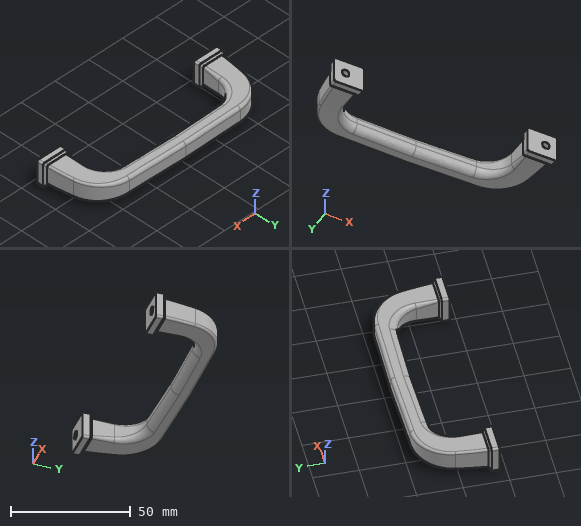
import cadquery as cq
import math

overall_length = 107.0
overall_reach = 34.5
overall_height = 13.0

foot_width = 14.4
foot_straight = 3.5
foot_height = 4.5
foot_corner_radius = 1.0
foot_outer_x = -overall_length / 2
foot_center_x = foot_outer_x + foot_width / 2

hole_spacing = 96.0
hole_diameter = 3.4
hole_depth = 10.0
drill_point_angle = 118.0

outer_bend_end_x = -32.85
outer_bend_end_y = 33.86
outer_bend_radius = 18.2
outer_bend_angle = math.radians(81.3)
leg_curve_radius = 180.0

inner_crown_y = 25.5
inner_bend_end_x = -28.6
inner_bend_end_y = 24.85
inner_bend_radius = 11.3
inner_bend_angle = math.radians(86.0)

half_height_foot = 5.24
half_height_middle = 4.87
half_height_crown = 4.58
half_height_middle_y = 18.5

outer_edge_radii = (1.0, 1.0, 1.8)
inner_edge_radii = (1.0, 2.1, 3.5)
vertex_tolerance = 0.1


def arc_point(center, radius, angle):
    """Point on a wall arc where the wall has turned by angle from the X direction."""
    return (center[0] - radius * math.sin(angle), center[1] + radius * math.cos(angle))


outer_bar_rise = math.atan2(overall_reach - outer_bend_end_y, -outer_bend_end_x)
outer_bend_center = arc_point((outer_bend_end_x, outer_bend_end_y), -outer_bend_radius, outer_bar_rise)
outer_bend_mid = arc_point(outer_bend_center, outer_bend_radius, (outer_bar_rise + outer_bend_angle) / 2)
outer_leg_top = arc_point(outer_bend_center, outer_bend_radius, outer_bend_angle)
leg_curve_center = arc_point(outer_leg_top, -leg_curve_radius, outer_bend_angle)
leg_foot_angle = math.acos((foot_height - leg_curve_center[1]) / leg_curve_radius)
outer_leg_mid = arc_point(leg_curve_center, leg_curve_radius, (outer_bend_angle + leg_foot_angle) / 2)
outer_leg_foot = arc_point(leg_curve_center, leg_curve_radius, leg_foot_angle)

inner_bar_rise = math.atan2(inner_crown_y - inner_bend_end_y, -inner_bend_end_x)
inner_bend_center = arc_point((inner_bend_end_x, inner_bend_end_y), -inner_bend_radius, inner_bar_rise)
inner_bend_mid = arc_point(inner_bend_center, inner_bend_radius, (inner_bar_rise + inner_bend_angle) / 2)
inner_leg_top = arc_point(inner_bend_center, inner_bend_radius, inner_bend_angle)
inner_leg_foot = (
    inner_leg_top[0] - (inner_leg_top[1] - foot_height) / math.tan(inner_bend_angle),
    foot_height,
)


def handle_blank():
    """Left half of the handle with sharp long edges."""
    plan = (
        cq.Workplane("XY")
        .moveTo(*outer_leg_foot)
        .threePointArc(outer_leg_mid, outer_leg_top)
        .threePointArc(outer_bend_mid, (outer_bend_end_x, outer_bend_end_y))
        .lineTo(0, overall_reach)
        .lineTo(0, inner_crown_y)
        .lineTo(inner_bend_end_x, inner_bend_end_y)
        .threePointArc(inner_bend_mid, inner_leg_top)
        .lineTo(*inner_leg_foot)
        .close()
        .extrude(overall_height / 2, both=True)
    )
    thickness = (
        cq.Workplane("YZ")
        .moveTo(foot_height, half_height_foot)
        .threePointArc((half_height_middle_y, half_height_middle), (overall_reach, half_height_crown))
        .lineTo(overall_reach, -half_height_crown)
        .threePointArc((half_height_middle_y, -half_height_middle), (foot_height, -half_height_foot))
        .close()
        .extrude(-overall_length)
    )
    return plan.intersect(thickness)


def round_long_edges(blank):
    """Round the four long edges with radii that grow from the foot to the bar."""
    walls = (
        (outer_leg_foot, outer_leg_top, outer_edge_radii),
        (inner_leg_foot, inner_leg_top, inner_edge_radii),
    )
    builder = cq.occ_impl.shapes.BRepFilletAPI_MakeFillet(blank.val().wrapped)
    for leg_foot, leg_top, (foot_radius, leg_top_radius, bar_radius) in walls:
        leg_middle_x = (leg_foot[0] + leg_top[0]) / 2
        leg_middle_y = (leg_foot[1] + leg_top[1]) / 2
        for half_height in (half_height_foot, -half_height_foot):
            leg_middle = (leg_middle_x, leg_middle_y, half_height)
            leg_edge = blank.edges(cq.selectors.NearestToPointSelector(leg_middle)).val()
            builder.Add(leg_edge.wrapped)
            chain = builder.NbContours()
            for index in range(1, builder.NbEdges(chain) + 1):
                for vertex in cq.Edge(builder.Edge(chain, index)).Vertices():
                    if vertex.Y < leg_foot[1] + vertex_tolerance:
                        radius = foot_radius
                    elif vertex.Y < leg_top[1] + vertex_tolerance:
                        radius = leg_top_radius
                    else:
                        radius = bar_radius
                    builder.SetRadius(radius, chain, vertex.wrapped)
    return cq.Workplane(obj=cq.Shape.cast(builder.Shape()))


def foot_section(center_x, width, height):
    """Rounded rectangle across a foot pad."""
    section = cq.Sketch().rect(width, height).vertices().fillet(foot_corner_radius)
    return section.moved(cq.Location(cq.Vector(center_x, 0, 0)))


def foot_pad():
    """Left foot pad: a straight block whose top slopes in to meet the leg."""
    base = foot_section(foot_center_x, foot_width, overall_height)
    leg_width = inner_leg_foot[0] - outer_leg_foot[0]
    leg_center_x = (inner_leg_foot[0] + outer_leg_foot[0]) / 2
    top = foot_section(leg_center_x, leg_width, 2 * half_height_foot)
    block = cq.Workplane("XZ").placeSketch(base).extrude(-foot_straight)
    slope = (
        cq.Workplane("XZ", origin=(0, foot_straight, 0))
        .placeSketch(base, top.moved(cq.Location(cq.Vector(0, 0, foot_straight - foot_height))))
        .loft()
    )
    return block.union(slope)


def mounting_hole():
    """Left mounting hole with its conical drill point."""
    radius = hole_diameter / 2
    point_length = radius / math.tan(math.radians(drill_point_angle / 2))
    return (
        cq.Workplane("XY", origin=(-hole_spacing / 2, 0, 0))
        .lineTo(radius, 0)
        .lineTo(radius, hole_depth)
        .lineTo(0, hole_depth + point_length)
        .close()
        .revolve(axisStart=(0, 0), axisEnd=(0, 1))
    )


left_half = round_long_edges(handle_blank()).union(foot_pad()).cut(mounting_hole())
result = left_half.union(left_half.mirror("YZ"))